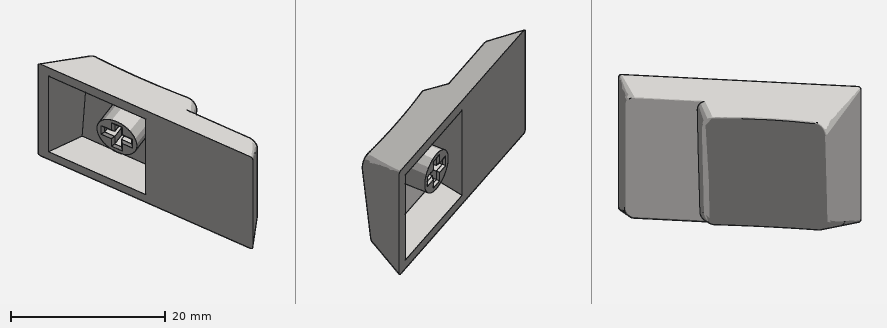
import cadquery as cq
import math


length = 32.3
width = 18.1
base_radius = 0.42
left_end = -length / 2
right_end = length / 2
front_z = -width / 2
back_z = width / 2

key_center_x = -4.88
key_base_half = key_center_x - left_end
key_top_half = 8.33
crest_height = 7.53
crest_z = 5.52
top_slope = 0.11
top_radius = 1.68
dish_half = 8.55
dish_sag = 0.52
dish_overrun = 6.45

ledge_height = 4.35
ledge_right = 14.3
ledge_radius = 1.4
edge_fillet = 0.2

pocket_left = -14.57
pocket_right = 0.0
pocket_front = -7.53
pocket_back = 7.35
floor_height = 5.85
floor_left = -12.18
floor_right = 1.2
floor_back = 4.45

stem_diameter = 6.0
stem_recess = 1.0
cross_length_x = 4.07
cross_length_z = 3.95
cross_width = 1.0
socket_flare = 0.32
flare_depth = 0.32


def rounded_wire(x_min, x_max, z_min, z_max, radius, height, slope=0.0):
    """Rounded rectangle in X and Z, tilted about its z_max edge at the given height."""

    def point(x, z):
        return cq.Vector(x, height - slope * (z_max - z), z)

    corner_mid = radius * (1 - math.sqrt(0.5))
    corners = [
        (x_max, z_min, -1, 0, 0, 1),
        (x_max, z_max, 0, -1, -1, 0),
        (x_min, z_max, 1, 0, 0, -1),
        (x_min, z_min, 0, 1, 1, 0),
    ]
    edges = []
    previous = point(x_min + radius, z_min)
    for x, z, in_x, in_z, out_x, out_z in corners:
        start = point(x + radius * in_x, z + radius * in_z)
        middle = point(x + corner_mid * (in_x + out_x), z + corner_mid * (in_z + out_z))
        end = point(x + radius * out_x, z + radius * out_z)
        edges.append(cq.Edge.makeLine(previous, start))
        edges.append(cq.Edge.makeThreePointArc(start, middle, end))
        previous = end
    return cq.Wire.assembleEdges(edges)


def ruled_solid(*wires):
    return cq.Workplane(cq.Solid.makeLoft(list(wires), True))


def make_tall_key():
    base = rounded_wire(
        left_end, key_center_x + key_base_half, front_z, back_z, base_radius, 0
    )
    top = rounded_wire(
        key_center_x - key_top_half, key_center_x + key_top_half,
        front_z, crest_z, top_radius, crest_height, top_slope,
    )
    key = ruled_solid(base, top)

    dish_radius = (dish_half**2 + dish_sag**2) / (2 * dish_sag)
    top_plane = cq.Plane(
        origin=(key_center_x, crest_height, crest_z),
        xDir=(1, 0, 0),
        normal=(0, -top_slope, -1),
    )
    dish = (
        cq.Workplane(top_plane)
        .workplane(offset=-dish_overrun)
        .center(0, dish_sag - dish_radius)
        .circle(dish_radius)
        .extrude(width + 2 * dish_overrun)
    )
    return key.cut(dish).faces("%CYLINDER").edges().fillet(edge_fillet)


def make_ledge():
    back_lean = (back_z - crest_z) / crest_height
    base = rounded_wire(left_end, right_end, front_z, back_z, base_radius, 0)
    top = rounded_wire(
        key_center_x - key_top_half, ledge_right, front_z,
        back_z - back_lean * ledge_height, ledge_radius, ledge_height,
    )
    return ruled_solid(base, top).faces(">Y").edges().fillet(edge_fillet)


def make_pocket():
    front_height = floor_height - top_slope * (floor_back - pocket_front)
    front_right = floor_right * front_height / floor_height
    mouth = cq.Wire.makePolygon(
        [
            cq.Vector(pocket_left, 0, pocket_front),
            cq.Vector(pocket_right, 0, pocket_front),
            cq.Vector(pocket_right, 0, pocket_back),
            cq.Vector(pocket_left, 0, pocket_back),
        ],
        close=True,
    )
    floor = cq.Wire.makePolygon(
        [
            cq.Vector(floor_left, front_height, pocket_front),
            cq.Vector(front_right, front_height, pocket_front),
            cq.Vector(floor_right, floor_height, floor_back),
            cq.Vector(floor_left, floor_height, floor_back),
        ],
        close=True,
    )
    return ruled_solid(mouth, floor)


def cross_wire(margin, depth):
    """Plus-shaped outline on the stem axis, enlarged by margin on every side."""
    reach_x = cross_length_x / 2 + margin
    reach_z = cross_length_z / 2 + margin
    arm = cross_width / 2 + margin
    quarter = [(reach_x, arm), (arm, arm), (arm, reach_z)]
    half = quarter + [(-x, z) for x, z in reversed(quarter)]
    outline = half + [(-x, -z) for x, z in half]
    return cq.Wire.makePolygon(
        [cq.Vector(key_center_x + x, depth, z) for x, z in outline], close=True
    )


def make_stem():
    stem = (
        cq.Workplane("XZ", origin=(key_center_x, stem_recess, 0))
        .circle(stem_diameter / 2)
        .extrude(stem_recess - floor_height)
    )
    flare_end = stem_recess + flare_depth
    flare = ruled_solid(cross_wire(socket_flare, stem_recess), cross_wire(0, flare_end))
    socket = ruled_solid(cross_wire(0, flare_end), cross_wire(0, floor_height))
    return stem.cut(flare).cut(socket)


pocket = make_pocket()
stem = make_stem().intersect(pocket)
body = make_tall_key().union(make_ledge())
result = body.cut(pocket).union(stem)